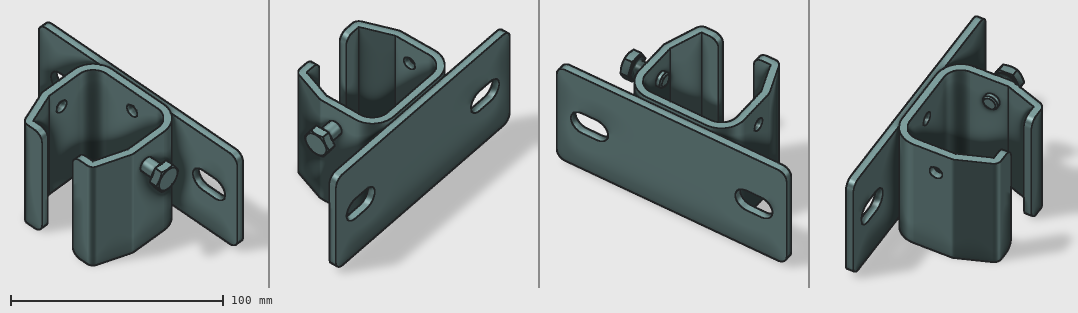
import cadquery as cq
import math

plate_width = 130.0
plate_height = 60.0
plate_thickness = 4.0
plate_corner_radius = 5.0
slot_length = 21.0
slot_width = 13.0
slot_offset = 46.5

channel_width = 59.5
channel_depth = 54.5
channel_height = 65.0
wall = 4.0
back_bend_radius = 13.0
side_bend_depth = 33.4
side_bend_angle = 20.0
opening = 20.0
lip_corner_radius = 5.0
plain_hole_diameter = 6.8
hole_drop = 13.0
side_hole_depth = 25.0

bolt_diameter = 8.0
bolt_length = 15.7
bolt_tip_x = 22.8
tip_chamfer = 0.8
under_head_fillet = 0.4
collar_diameter = 11.8
collar_thickness = 0.7
head_across_flats = 13.0
head_thickness = 4.9
head_chamfer_angle = 30.0
head_end_diameter = 12.4

half_width = channel_width / 2
inner_half_width = half_width - wall
hole_z = channel_height / 2 - hole_drop
lip_inner_y = wall - channel_depth
lean = math.radians(side_bend_angle)
lip_bend_x = inner_half_width - (channel_depth - wall - side_bend_depth) * math.tan(lean)


def make_plate():
    plate = (
        cq.Workplane("XZ")
        .rect(plate_width, plate_height)
        .extrude(-plate_thickness)
        .edges("|Y")
        .fillet(plate_corner_radius)
    )
    slots = (
        cq.Workplane("XZ")
        .pushPoints([(-slot_offset, 0), (slot_offset, 0)])
        .slot2D(slot_length, slot_width)
        .extrude(-plate_thickness)
    )
    return plate.cut(slots)


def channel_blank():
    """Right half of the bent profile, extruded and mirrored about the YZ plane."""

    def around(x, y, degrees):
        """Point on the outside of a bend whose inner corner is (x, y)."""
        angle = math.radians(degrees)
        return (x + wall * math.cos(angle), y + wall * math.sin(angle))

    side_bend = (inner_half_width, -side_bend_depth)
    lip_bend = (lip_bend_x, lip_inner_y)
    back_bend_x = half_width - back_bend_radius
    inner_bend_radius = back_bend_radius - wall
    diagonal = math.sqrt(0.5)

    def back_bend_middle(radius):
        return (back_bend_x + radius * diagonal, -back_bend_radius + radius * diagonal)

    half = (
        cq.Workplane("XY", origin=(0, 0, -channel_height / 2))
        .moveTo(0, 0)
        .lineTo(back_bend_x, 0)
        .threePointArc(back_bend_middle(back_bend_radius), (half_width, -back_bend_radius))
        .lineTo(half_width, -side_bend_depth)
        .threePointArc(around(*side_bend, -side_bend_angle / 2), around(*side_bend, -side_bend_angle))
        .lineTo(*around(*lip_bend, -side_bend_angle))
        .threePointArc(around(*lip_bend, -(90 + side_bend_angle) / 2), around(*lip_bend, -90))
        .lineTo(opening / 2, -channel_depth)
        .lineTo(opening / 2, lip_inner_y)
        .lineTo(*lip_bend)
        .lineTo(*side_bend)
        .lineTo(inner_half_width, -back_bend_radius)
        .threePointArc(back_bend_middle(inner_bend_radius), (back_bend_x, -wall))
        .lineTo(0, -wall)
        .close()
        .extrude(channel_height)
    )
    half = half.edges("|Y").edges("<Y").fillet(lip_corner_radius)
    return half.union(half.mirror("YZ"))


def side_cutter(diameter, direction):
    """Cylinder from the middle of the channel out through one side wall."""
    return (
        cq.Workplane("YZ", origin=(0, -side_hole_depth, hole_z))
        .circle(diameter / 2)
        .extrude(direction * half_width)
    )


def make_channel():
    back_hole = (
        cq.Workplane("XZ", origin=(0, 0, hole_z))
        .circle(plain_hole_diameter / 2)
        .extrude(wall)
    )
    return (
        channel_blank()
        .cut(back_hole)
        .cut(side_cutter(plain_hole_diameter, -1))
        .cut(side_cutter(bolt_diameter, 1))
    )


def make_bolt():
    bolt_radius = bolt_diameter / 2
    collar_x = bolt_tip_x + bolt_length
    head_x = collar_x + collar_thickness
    fillet_middle = under_head_fillet * (1 - math.sqrt(0.5))

    body = (
        cq.Workplane("XY", origin=(0, -side_hole_depth, hole_z))
        .moveTo(bolt_tip_x, 0)
        .lineTo(bolt_tip_x, -(bolt_radius - tip_chamfer))
        .lineTo(bolt_tip_x + tip_chamfer, -bolt_radius)
        .lineTo(collar_x - under_head_fillet, -bolt_radius)
        .threePointArc(
            (collar_x - fillet_middle, -(bolt_radius + fillet_middle)),
            (collar_x, -(bolt_radius + under_head_fillet)),
        )
        .lineTo(collar_x, -collar_diameter / 2)
        .lineTo(head_x, -collar_diameter / 2)
        .lineTo(head_x, 0)
        .close()
        .revolve(360, (0, 0, 0), (1, 0, 0))
    )

    across_corners = head_across_flats / math.cos(math.pi / 6)
    head = (
        cq.Workplane("YZ", origin=(head_x, -side_hole_depth, hole_z))
        .polygon(6, across_corners)
        .extrude(head_thickness)
    )
    cone_end_radius = head_end_diameter / 2
    cone_base_radius = cone_end_radius + head_thickness / math.tan(math.radians(head_chamfer_angle))
    cone = cq.Solid.makeCone(
        cone_base_radius,
        cone_end_radius,
        head_thickness,
        pnt=cq.Vector(head_x, -side_hole_depth, hole_z),
        dir=cq.Vector(1, 0, 0),
    )
    head = head.intersect(cq.Workplane(cone))
    return body.union(head)


plate = make_plate()
channel = make_channel()
bolt = make_bolt()

result = cq.Compound.makeCompound([plate.val(), channel.val(), bolt.val()])